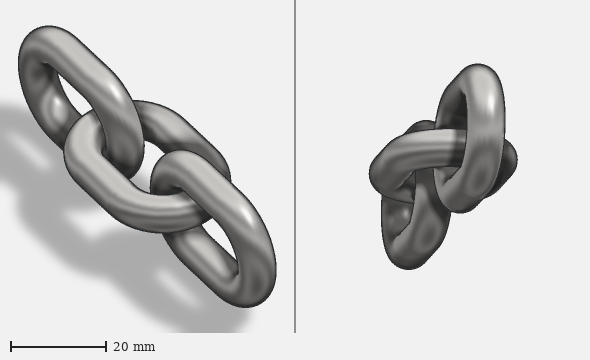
import cadquery as cq

chain_length = 87.9
link_width = 28.6
wire_diameter = 8.0
link_count = 3

overlap = 2 * wire_diameter
link_length = (chain_length + (link_count - 1) * overlap) / link_count
pitch = link_length - overlap
bend_radius = (link_width - wire_diameter) / 2
straight_length = link_length - link_width


def make_link(center_x, tilt):
    """Closed oval link of round wire, long along X, turned by tilt degrees about X from the XY plane."""
    half_straight = straight_length / 2
    centerline = (
        cq.Workplane("XY")
        .moveTo(-half_straight, bend_radius)
        .lineTo(half_straight, bend_radius)
        .threePointArc((half_straight + bend_radius, 0), (half_straight, -bend_radius))
        .lineTo(-half_straight, -bend_radius)
        .threePointArc((-half_straight - bend_radius, 0), (-half_straight, bend_radius))
        .close()
    )
    link = (
        cq.Workplane("YZ", origin=(-half_straight, bend_radius, 0))
        .circle(wire_diameter / 2)
        .sweep(centerline)
    )
    return link.rotate((0, 0, 0), (1, 0, 0), tilt).translate((center_x, 0, 0))


links = []
for index in range(link_count):
    center_x = (index - (link_count - 1) / 2) * pitch
    tilt = 90 if index % 2 == 0 else 0
    links.append(make_link(center_x, tilt))

result = cq.Compound.makeCompound([link.val() for link in links])